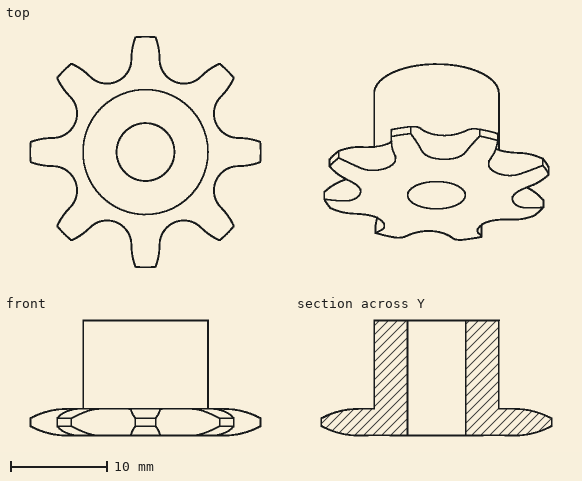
import cadquery as cq
import math

tooth_count = 8
outer_radius = 12.0
total_height = 12.0
hub_diameter = 13.0
bore_diameter = 6.0
plate_thickness = 2.8

chain_pitch = 8.0
seat_radius = 2.52
flank_radius = 6.48
bevel_start_radius = 8.14
bevel_radius = 8.0
envelope_margin = 0.25

half_step = math.pi / tooth_count
pitch_radius = chain_pitch / (2 * math.sin(half_step))


def polar(radius, angle):
    return (radius * math.cos(angle), radius * math.sin(angle))


def tooth_point(along, across, axis_angle):
    """Turn a point given along and across a tooth axis into X, Y."""
    cosine = math.cos(axis_angle)
    sine = math.sin(axis_angle)
    return (along * cosine - across * sine, along * sine + across * cosine)


seat_along, seat_across = polar(pitch_radius, half_step)
join_half_width = seat_across - seat_radius


def flank_half_width(along):
    rise = along - seat_along
    return join_half_width - flank_radius + math.sqrt(flank_radius**2 - rise**2)


flank_center_across = join_half_width - flank_radius
center_distance = math.hypot(seat_along, flank_center_across)
center_angle = math.atan2(flank_center_across, seat_along)
tip_offset_angle = math.acos(
    (outer_radius**2 + center_distance**2 - flank_radius**2)
    / (2 * outer_radius * center_distance)
)
tip_along, tip_across = polar(outer_radius, center_angle + tip_offset_angle)
flank_middle_along = (seat_along + tip_along) / 2
flank_middle_across = flank_half_width(flank_middle_along)


def toothed_prism():
    """Straight-sided plate with the full tooth outline."""
    outline = cq.Workplane("XY").moveTo(tip_along, -tip_across)
    for index in range(tooth_count):
        axis = 2 * half_step * index
        next_axis = axis + 2 * half_step
        outline = (
            outline
            .threePointArc(polar(outer_radius, axis), tooth_point(tip_along, tip_across, axis))
            .threePointArc(
                tooth_point(flank_middle_along, flank_middle_across, axis),
                tooth_point(seat_along, join_half_width, axis),
            )
            .threePointArc(
                polar(pitch_radius - seat_radius, axis + half_step),
                tooth_point(seat_along, -join_half_width, next_axis),
            )
            .threePointArc(
                tooth_point(flank_middle_along, -flank_middle_across, next_axis),
                tooth_point(tip_along, -tip_across, next_axis),
            )
        )
    return outline.close().extrude(plate_thickness)


def bevel_envelope():
    """Disc with rounded bevels on both faces, slightly wider than the teeth."""
    rim_radius = outer_radius + envelope_margin

    def bevel_drop(radius):
        return bevel_radius - math.sqrt(bevel_radius**2 - (radius - bevel_start_radius) ** 2)

    middle_radius = (bevel_start_radius + rim_radius) / 2
    middle_drop = bevel_drop(middle_radius)
    rim_drop = bevel_drop(rim_radius)
    return (
        cq.Workplane("XZ")
        .lineTo(bevel_start_radius, 0)
        .threePointArc((middle_radius, middle_drop), (rim_radius, rim_drop))
        .lineTo(rim_radius, plate_thickness - rim_drop)
        .threePointArc(
            (middle_radius, plate_thickness - middle_drop),
            (bevel_start_radius, plate_thickness),
        )
        .lineTo(0, plate_thickness)
        .close()
        .revolve(360, (0, 0, 0), (0, 1, 0))
    )


hub = cq.Workplane("XY").circle(hub_diameter / 2).extrude(total_height)
bore = cq.Workplane("XY").circle(bore_diameter / 2).extrude(total_height)

result = toothed_prism().intersect(bevel_envelope()).union(hub).cut(bore)